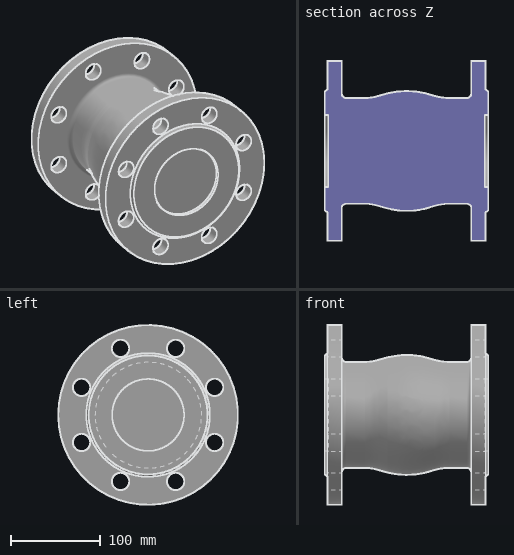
import cadquery as cq
import math

total_length = 182.0
flange_radius = 100.0
flange_thickness = 16.0
raised_face_height = 3.2
raised_face_base_radius = 68.8
raised_face_tip_radius = 66.0
end_x = total_length / 2
flange_outer_x = end_x - raised_face_height
flange_inner_x = flange_outer_x - flange_thickness

bolt_circle_radius = 80.0
bolt_hole_diameter = 19.0
bolt_count = 8

recess_radius = 40.0
recess_depth = 4.0

neck_radius = 59.0
neck_fillet = 4.8
bulge_peak_radius = 66.8
left_neck_end_x = -46.2
left_cone_start_x = -31.0
left_cone_start_radius = 61.5
left_cone_end_x = -21.2
left_cone_end_radius = 64.2
right_bulge_end_x = 30.8
right_bulge_end_radius = 61.5
right_neck_start_x = 47.5


def blend_midpoint(neck_x, far_x, far_radius):
    """Middle point of a concave arc that leaves the neck tangentially."""
    run = far_x - neck_x
    rise = far_radius - neck_radius
    arc_radius = (run**2 + rise**2) / (2 * rise)
    half_angle = math.atan2(rise, abs(run))
    mid_x = neck_x + math.copysign(arc_radius * math.sin(half_angle), run)
    mid_radius = neck_radius + arc_radius * (1 - math.cos(half_angle))
    return mid_x, mid_radius


def make_body():
    """Revolved necks, cone and bulge, reaching the flange inner faces."""
    left_blend = blend_midpoint(left_neck_end_x, left_cone_start_x, left_cone_start_radius)
    right_blend = blend_midpoint(right_neck_start_x, right_bulge_end_x, right_bulge_end_radius)
    fillet_mid_x = flange_inner_x - neck_fillet * (1 - math.sqrt(0.5))
    fillet_mid_radius = neck_radius + neck_fillet * (1 - math.sqrt(0.5))
    profile = (
        cq.Workplane("XY")
        .moveTo(-flange_inner_x, 0)
        .lineTo(-flange_inner_x, neck_radius + neck_fillet)
        .threePointArc((-fillet_mid_x, fillet_mid_radius), (neck_fillet - flange_inner_x, neck_radius))
        .lineTo(left_neck_end_x, neck_radius)
        .threePointArc(left_blend, (left_cone_start_x, left_cone_start_radius))
        .lineTo(left_cone_end_x, left_cone_end_radius)
        .threePointArc((0, bulge_peak_radius), (right_bulge_end_x, right_bulge_end_radius))
        .threePointArc(right_blend, (right_neck_start_x, neck_radius))
        .lineTo(flange_inner_x - neck_fillet, neck_radius)
        .threePointArc((fillet_mid_x, fillet_mid_radius), (flange_inner_x, neck_radius + neck_fillet))
        .lineTo(flange_inner_x, 0)
        .close()
    )
    return profile.revolve(360, (0, 0, 0), (1, 0, 0))


def make_flange():
    """Flange at the +X end with bevelled raised face, recess and bolt holes."""
    outline = [
        (flange_inner_x, 0),
        (flange_inner_x, flange_radius),
        (flange_outer_x, flange_radius),
        (flange_outer_x, raised_face_base_radius),
        (end_x, raised_face_tip_radius),
        (end_x, recess_radius),
        (end_x - recess_depth, recess_radius),
        (end_x - recess_depth, 0),
    ]
    blank = cq.Workplane("XY").polyline(outline).close().revolve(360, (0, 0, 0), (1, 0, 0))
    bolt_holes = (
        cq.Workplane("YZ", origin=(flange_inner_x, 0, 0))
        .polarArray(bolt_circle_radius, 180 / bolt_count, 360, bolt_count)
        .circle(bolt_hole_diameter / 2)
        .extrude(flange_thickness)
    )
    return blank.cut(bolt_holes)


right_flange = make_flange()
left_flange = right_flange.mirror("YZ")
result = make_body().union(right_flange).union(left_flange)